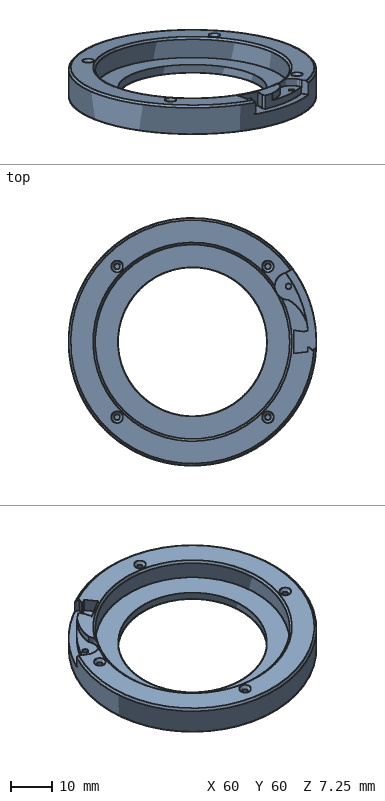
import cadquery as cq
import math

outer_radius = 30.0
height = 7.25
opening_radius = 18.0
bore_radius = 23.5
bore_floor_z = 2.1
rim_chamfer = 0.55

screw_offset = 18.2
screw_diameter = 1.4
countersink_diameter = 2.8
countersink_angle = 90
screw_depth = 4.2

pivot_x = 23.2
pivot_y = 13.45
pivot_hole_diameter = 1.4
pivot_hole_depth = 3.0
pivot_pocket_radius = 3.3
pivot_floor_z = 5.45
floor_overlap = 0.2

ledge_radius = 28.05
ledge_floor_z = 3.8
cut_outer_radius = outer_radius + 1.2
cutter_overshoot = 0.6
slot_inner_x = 24.45
slot_half_width = 2.8
slot_neck_half_width = 2.4
ledge_start_angle = 36.5


def on_circle(radius, angle):
    """Point at a polar angle in degrees about the ring axis."""
    radians = math.radians(angle)
    return radius * math.cos(radians), radius * math.sin(radians)


def on_circle_at_y(radius, y):
    """Point on the +X half of a circle about the ring axis."""
    return math.sqrt(radius**2 - y**2), y


def cut_down_to(outline, floor_z):
    """Turn a closed outline into a cutter reaching above the top face."""
    return outline.close().extrude(height + cutter_overshoot - floor_z)


def make_ring():
    ring = cq.Workplane("XY").circle(outer_radius).extrude(height)
    bore = cq.Workplane("XY").workplane(offset=bore_floor_z).circle(bore_radius).extrude(height)
    ring = ring.cut(bore)
    ring = ring.faces(">Z").edges().chamfer(rim_chamfer)
    return ring.cut(cq.Workplane("XY").circle(opening_radius).extrude(height))


def make_pivot_pocket():
    """Shallow pocket around the pivot, narrowing to a tip beside the slot."""
    overlap_radius = ledge_radius + floor_overlap
    wall_start = on_circle(overlap_radius, ledge_start_angle)
    wall_end = (21.95, 16.5)
    circle_end = (pivot_x, pivot_y - pivot_pocket_radius)
    circle_left = (pivot_x - pivot_pocket_radius, pivot_y)
    flank_middle = (25.6, 8.15)
    tip_y = 5.1
    tip = on_circle_at_y(ledge_radius - floor_overlap, tip_y)
    tip_outer = on_circle_at_y(overlap_radius, tip_y)
    outline = (
        cq.Workplane("XY")
        .workplane(offset=pivot_floor_z)
        .moveTo(*wall_start)
        .lineTo(*wall_end)
        .threePointArc(circle_left, circle_end)
        .threePointArc(flank_middle, tip)
        .lineTo(*tip_outer)
        .threePointArc(on_circle(overlap_radius, ledge_start_angle / 2), wall_start)
    )
    return cut_down_to(outline, pivot_floor_z)


def make_ledge():
    """Deep outer ledge and latch slot, ending at a pointed notch in the rim."""
    start_inner = on_circle(ledge_radius, ledge_start_angle)
    start_outer = (25.35, 18.4)
    arc_middle = on_circle(ledge_radius, ledge_start_angle / 2)
    island_tip = on_circle_at_y(ledge_radius, 2.75)
    slot_end_x = 27.9
    slot_corner = (27.0, slot_neck_half_width + 0.05)
    notch_start_x = 28.25
    notch_top_y = -1.3
    notch_bottom = (29.0, -2.1)
    outline = (
        cq.Workplane("XY")
        .workplane(offset=ledge_floor_z)
        .moveTo(*start_inner)
        .threePointArc(arc_middle, island_tip)
        .lineTo(*slot_corner)
        .lineTo(slot_inner_x, slot_half_width)
        .lineTo(slot_inner_x, -slot_half_width)
        .lineTo(slot_end_x, -slot_neck_half_width)
        .lineTo(slot_end_x, notch_top_y)
        .lineTo(notch_start_x, notch_top_y)
        .lineTo(*notch_bottom)
        .lineTo(*on_circle_at_y(outer_radius, notch_top_y))
        .lineTo(cut_outer_radius, notch_top_y)
        .threePointArc(on_circle(cut_outer_radius, ledge_start_angle / 2), start_outer)
    )
    return cut_down_to(outline, ledge_floor_z)


def make_pivot_hole():
    return (
        cq.Workplane("XY")
        .workplane(offset=pivot_floor_z - pivot_hole_depth)
        .center(pivot_x, pivot_y)
        .circle(pivot_hole_diameter / 2)
        .extrude(pivot_hole_depth)
    )


def drill_screw_holes(body):
    return (
        body.copyWorkplane(cq.Workplane("XY").workplane(offset=height))
        .rect(2 * screw_offset, 2 * screw_offset, forConstruction=True)
        .vertices()
        .cskHole(screw_diameter, countersink_diameter, countersink_angle, screw_depth)
    )


result = make_ring().cut(make_pivot_hole()).cut(make_pivot_pocket()).cut(make_ledge())
result = drill_screw_holes(result)